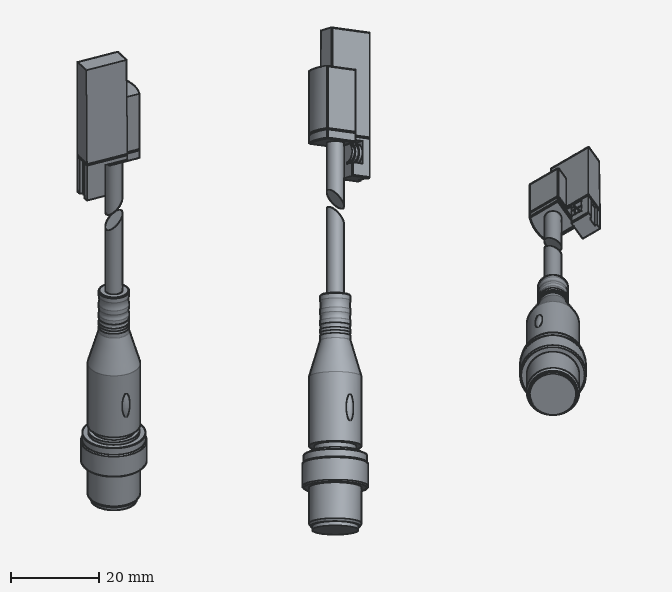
import cadquery as cq

CABLE_DIA = 4.0
CABLE_R = CABLE_DIA / 2
LOWER_CUT_Z = 72.6
UPPER_CUT_Z = 76.6

LIP_DIA = 10.5
SHANK_END_DIA = 11.2
LIP_TOP = 0.9
SHANK_CHAMFER_TOP = 1.5
SHANK_DIA = 12.0
COLLAR_BOTTOM = 9.8
COLLAR_TOP = 15.6
COLLAR_DIA = 15.0
COLLAR_CHAMFER = 0.3
RING_TOP = 17.3
RING_DIA = 14.4
RING_CHAMFER = 0.1
FLANGE_TOP = 18.0
FLANGE_DIA = 11.6
NECK_DIA = 9.5
BODY_BOTTOM = 19.5
BODY_DIA = 12.0
CONE_BOTTOM = 35.5
BOOT_BOTTOM = 43.9
BOOT_TOP = 54.4
BOOT_DIA = 7.0
BOOT_CHAMFER = 0.2
BOOT_GROOVES = [(44.9, 0.7), (46.3, 1.0), (48.4, 1.5), (51.0, 2.1)]
BOOT_GROOVE_DEPTH = 0.14

MARK_Z = 27.4
MARK_LENGTH = 10.5
MARK_DIA = 2.5
MARK_RISE = 0.42

TOP_Z = 116.4
OVERALL_DEPTH = 17.0
BLOCK_X_MIN = 0.1
BLOCK_WIDTH = 4.9
BLOCK_X_MAX = BLOCK_X_MIN + BLOCK_WIDTH
BLOCK_X_MID = (BLOCK_X_MIN + BLOCK_X_MAX) / 2
BLOCK_Y_MIN = COLLAR_DIA / 2 - OVERALL_DEPTH
BLOCK_Y_MAX = 0.8
BLOCK_TOP_WIDTH = 4.5
BASE_Z = 91.7
BRIDGE_BOTTOM = 90.7

BOX_X_MIN = -3.3
BOX_X_MAX = 4.3
BOX_Y_MIN = -3.5
BOX_SHOULDER_Y = 4.3
BOX_CROWN_Y = 5.0
BOX_BOTTOM = 89.6
BOX_TOP = 106.5
EDGE_CHAMFER = 0.2

JOINT_HEIGHT = 0.3
JOINT_DEPTH = 0.1

CLIP_BOTTOM = 82.7
CLIP_Y_MAX = -4.8
SLOT_X_MIN = 1.4
SLOT_FLOOR_X_MIN = 1.7
SLOT_X_MAX = 3.7
SLOT_DEPTH = 0.6
WINDOW_BOTTOM = 85.8
WINDOW_TOP = 91.0
WINDOW_Y_MIN = -7.6
WINDOW_STEP_Y = -5.6
WINDOW_STEP_TOP = 89.8

DIAL_DIA = 4.5
DIAL_Z = 88.4
DIAL_GROOVES = [-6.5, -5.5]
DIAL_GROOVE_WIDTH = 0.2
DIAL_GROOVE_DEPTH = 0.3


def box(x_min, x_max, y_min, y_max, z_min, z_max):
    """Block between two opposite corners."""
    size = (x_max - x_min, y_max - y_min, z_max - z_min)
    return cq.Workplane("XY").box(*size, centered=False).translate((x_min, y_min, z_min))


def cable(z_min, z_max):
    return cq.Workplane("XY").workplane(offset=z_min).circle(CABLE_R).extrude(z_max - z_min)


def slanted_half(cut_z, direction):
    """Half-space prism on one side (+1 above, -1 below) of a 45 degree plane that rises towards +Y."""
    reach = CABLE_DIA
    far_z = cut_z + 2 * direction * reach
    corners = [(-reach, cut_z - reach), (reach, cut_z + reach), (reach, far_z), (-reach, far_z)]
    return cq.Workplane("YZ").polyline(corners).close().extrude(reach, both=True)


def turned_plug():
    outline = (
        cq.Workplane("XZ")
        .lineTo(LIP_DIA / 2, 0)
        .lineTo(LIP_DIA / 2, LIP_TOP)
        .lineTo(SHANK_END_DIA / 2, LIP_TOP)
        .lineTo(SHANK_DIA / 2, SHANK_CHAMFER_TOP)
        .lineTo(SHANK_DIA / 2, COLLAR_BOTTOM)
        .lineTo(COLLAR_DIA / 2 - COLLAR_CHAMFER, COLLAR_BOTTOM)
        .lineTo(COLLAR_DIA / 2, COLLAR_BOTTOM + COLLAR_CHAMFER)
        .lineTo(COLLAR_DIA / 2, COLLAR_TOP - COLLAR_CHAMFER)
        .lineTo(RING_DIA / 2, COLLAR_TOP)
        .lineTo(RING_DIA / 2, RING_TOP - RING_CHAMFER)
        .lineTo(RING_DIA / 2 - RING_CHAMFER, RING_TOP)
        .lineTo(FLANGE_DIA / 2, RING_TOP)
        .lineTo(FLANGE_DIA / 2, FLANGE_TOP)
        .lineTo(NECK_DIA / 2, FLANGE_TOP)
        .lineTo(NECK_DIA / 2, BODY_BOTTOM)
        .lineTo(BODY_DIA / 2, BODY_BOTTOM)
        .lineTo(BODY_DIA / 2, CONE_BOTTOM)
        .lineTo(BOOT_DIA / 2, BOOT_BOTTOM)
    )
    for groove_z, width in BOOT_GROOVES:
        outline = outline.lineTo(BOOT_DIA / 2, groove_z).threePointArc(
            (BOOT_DIA / 2 - BOOT_GROOVE_DEPTH, groove_z + width / 2),
            (BOOT_DIA / 2, groove_z + width),
        )
    outline = (
        outline.lineTo(BOOT_DIA / 2, BOOT_TOP - BOOT_CHAMFER)
        .lineTo(BOOT_DIA / 2 - BOOT_CHAMFER, BOOT_TOP)
        .lineTo(0, BOOT_TOP)
        .close()
    )
    return outline.revolve(360, (0, 0, 0), (0, 1, 0))


def grip_mark(side):
    """Spindle along Z, sunk into one side (+1 or -1) of the body so that its crown stands proud."""
    axis_x = side * (BODY_DIA / 2 + MARK_RISE - MARK_DIA / 2)
    return (
        cq.Workplane("XZ", origin=(axis_x, 0, MARK_Z))
        .moveTo(0, -MARK_LENGTH / 2)
        .threePointArc((MARK_DIA / 2, 0), (0, MARK_LENGTH / 2))
        .close()
        .revolve(360, (0, 0, 0), (0, 1, 0))
    )


def make_plug():
    tail = cable(BOOT_TOP, LOWER_CUT_Z + CABLE_R).cut(slanted_half(LOWER_CUT_Z, 1))
    body = turned_plug().union(tail)
    for side in (-1, 1):
        body = body.union(grip_mark(side))
    return body


def sensor_block():
    upper = (
        cq.Workplane("XZ", origin=(BLOCK_X_MIN, BLOCK_Y_MAX, 0))
        .moveTo(0, BASE_Z)
        .lineTo(BLOCK_WIDTH, BASE_Z)
        .lineTo(BLOCK_TOP_WIDTH, TOP_Z)
        .lineTo(0, TOP_Z)
        .close()
        .extrude(BLOCK_Y_MAX - BLOCK_Y_MIN)
    )
    upper = upper.faces("<X").edges(">Y or >Z").chamfer(EDGE_CHAMFER)
    bridge = box(BLOCK_X_MIN, BLOCK_X_MAX, BLOCK_Y_MIN, BLOCK_Y_MAX, BRIDGE_BOTTOM, BASE_Z)
    return upper.union(bridge)


def box_blank(inset, z_min, z_max):
    """Prism of the box outline with its curved +Y side, drawn in by the inset on every side."""
    x_min = BOX_X_MIN + inset
    x_max = BOX_X_MAX - inset
    shoulder_y = BOX_SHOULDER_Y - inset
    crown = ((BOX_X_MIN + BOX_X_MAX) / 2, BOX_CROWN_Y - inset)
    return (
        cq.Workplane("XY", origin=(0, 0, z_min))
        .moveTo(x_min, BOX_Y_MIN + inset)
        .lineTo(x_max, BOX_Y_MIN + inset)
        .lineTo(x_max, shoulder_y)
        .threePointArc(crown, (x_min, shoulder_y))
        .close()
        .extrude(z_max - z_min)
    )


def cable_box():
    """Box with chamfers round its -X face and its bottom."""
    blank = box_blank(0, BOX_BOTTOM, BOX_TOP)
    return blank.faces("<X or <Z").edges().chamfer(EDGE_CHAMFER)


def joint_groove():
    """Shallow groove round the sensor, at the level of the block base."""
    joint_top = BASE_Z + JOINT_HEIGHT
    around = box(BOX_X_MIN, BLOCK_X_MAX, BLOCK_Y_MIN, BOX_CROWN_Y, BASE_Z, joint_top)
    block_core = box(
        BLOCK_X_MIN + JOINT_DEPTH,
        BLOCK_X_MAX - JOINT_DEPTH,
        BLOCK_Y_MIN + JOINT_DEPTH,
        BLOCK_Y_MAX - JOINT_DEPTH,
        BASE_Z,
        joint_top,
    )
    box_core = box_blank(JOINT_DEPTH, BASE_Z, joint_top)
    return around.cut(block_core).cut(box_core)


def clip_body():
    body = box(BLOCK_X_MIN, BLOCK_X_MAX, BLOCK_Y_MIN, CLIP_Y_MAX, CLIP_BOTTOM, BASE_Z)
    return body.faces("<X").edges(">Y or <Z").chamfer(EDGE_CHAMFER)


def clip_slot():
    """Slot up the -Y side of the clip, with one slanted wall."""
    floor_y = BLOCK_Y_MIN + SLOT_DEPTH
    corners = [
        (SLOT_X_MIN, BLOCK_Y_MIN),
        (SLOT_X_MAX, BLOCK_Y_MIN),
        (SLOT_X_MAX, floor_y),
        (SLOT_FLOOR_X_MIN, floor_y),
    ]
    blank = cq.Workplane("XY", origin=(0, 0, CLIP_BOTTOM)).polyline(corners).close()
    return blank.extrude(BASE_Z - CLIP_BOTTOM)


def clip_window():
    """Stepped pocket in the -X side of the clip, open towards +Y."""
    tall = box(BLOCK_X_MIN, BLOCK_X_MID, WINDOW_Y_MIN, WINDOW_STEP_Y, WINDOW_BOTTOM, WINDOW_TOP)
    mouth = box(BLOCK_X_MIN, BLOCK_X_MID, WINDOW_STEP_Y, CLIP_Y_MAX, WINDOW_BOTTOM, WINDOW_STEP_TOP)
    return tall.union(mouth)


def disc_along_y(y_max, width, dia):
    return cq.Workplane("XZ", origin=(BLOCK_X_MID, y_max, DIAL_Z)).circle(dia / 2).extrude(width)


def dial():
    """Grooved disc about a Y axis, half of it showing in the clip window."""
    disc = disc_along_y(CLIP_Y_MAX, CLIP_Y_MAX - WINDOW_Y_MIN, DIAL_DIA)
    for groove_y in DIAL_GROOVES:
        rim = disc_along_y(groove_y, DIAL_GROOVE_WIDTH, DIAL_DIA)
        core = disc_along_y(groove_y, DIAL_GROOVE_WIDTH, DIAL_DIA - 2 * DIAL_GROOVE_DEPTH)
        disc = disc.cut(rim.cut(core))
    return disc


def make_sensor():
    body = sensor_block().union(cable_box()).union(clip_body())
    body = body.cut(clip_slot()).cut(clip_window()).union(dial()).cut(joint_groove())
    lead = cable(UPPER_CUT_Z - CABLE_R, BOX_BOTTOM).cut(slanted_half(UPPER_CUT_Z, -1))
    return body.union(lead)


plug = make_plug()
sensor = make_sensor()
result = cq.Compound.makeCompound([plug.val(), sensor.val()])